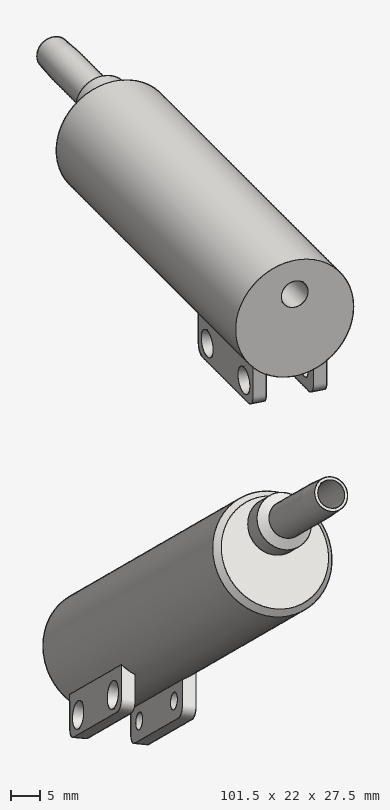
import cadquery as cq
import math

total_length = 101.5
body_diameter = 22.0
overall_height = 27.5
body_radius = body_diameter / 2
lug_bottom = body_radius - overall_height

body_start = 25.0
body_chamfer = 1.1

stem_offset = 4.6
stem_diameter = 6.5
tip_diameter = 6.1
tip_length = 5.0
bore_diameter = 5.0
collar_diameter = 10.0
collar_start = 19.8
collar_cone_length = 1.0

lug_length = 22.9
lug_end_gap = 2.0
lug_thickness = 2.5
lug_outer_y = 6.9
lug_corner_radius = 1.8
hole_diameter = 3.0
countersink_diameter = 5.0
hole_taper = math.degrees(math.atan((countersink_diameter - hole_diameter) / 2 / lug_thickness))
hole_spacing = 15.4
hole_height = 3.5


def make_body():
    body = cq.Workplane("YZ", origin=(body_start, 0, 0)).circle(body_radius)
    return body.extrude(total_length - body_start).faces("<X").chamfer(body_chamfer)


def make_stem():
    """Tapered tip, straight tube and conical collar, revolved about the stem axis."""
    profile = [
        (0, 0),
        (0, tip_diameter / 2),
        (tip_length, stem_diameter / 2),
        (collar_start, stem_diameter / 2),
        (collar_start + collar_cone_length, collar_diameter / 2),
        (body_start + body_chamfer, collar_diameter / 2),
        (body_start + body_chamfer, 0),
    ]
    stem = cq.Workplane("XZ").polyline(profile).close().revolve(360, (0, 0, 0), (1, 0, 0))
    return stem.translate((0, 0, stem_offset))


def make_bore():
    bore = cq.Workplane("YZ", origin=(0, 0, stem_offset)).circle(bore_diameter / 2)
    return bore.extrude(total_length)


def make_lug():
    """Lug on the -Y side, with tapered holes that are widest on its outer face."""
    lug_top = -math.sqrt(body_radius**2 - lug_outer_y**2)
    lug_center_x = total_length - lug_end_gap - lug_length / 2
    lug = (
        cq.Workplane("XY", origin=(lug_center_x, -lug_outer_y, lug_bottom))
        .box(lug_length, lug_thickness, lug_top - lug_bottom, centered=(True, False, False))
        .faces("<Z").edges("|Y").fillet(lug_corner_radius)
    )
    holes = (
        cq.Workplane("XZ", origin=(lug_center_x, -lug_outer_y, lug_bottom + hole_height))
        .pushPoints([(-hole_spacing / 2, 0), (hole_spacing / 2, 0)])
        .circle(countersink_diameter / 2)
        .extrude(-lug_thickness, taper=hole_taper)
    )
    return lug.cut(holes)


lug = make_lug()
result = make_body().union(make_stem()).union(lug).union(lug.mirror("XZ")).cut(make_bore())